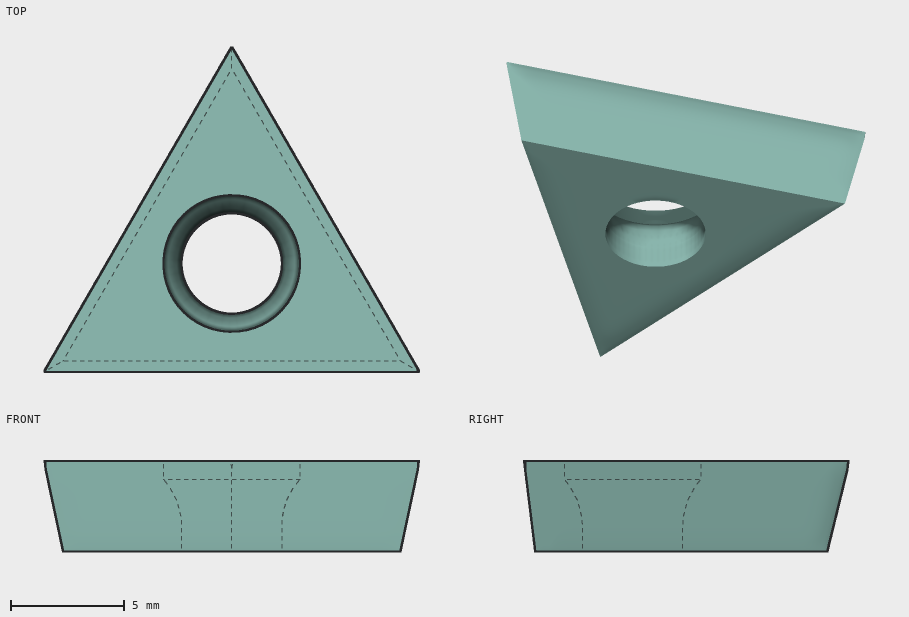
import cadquery as cq
import math

overall_width = 16.42
thickness = 3.97
relief_angle = 7.0
tip_radius = 0.05

mouth_diameter = 6.0
mouth_depth = 0.8
bore_diameter = 4.4
seat_radius = 3.0

sharp_side = overall_width + 2 * tip_radius * (math.sqrt(3) - 1)
top_inradius = sharp_side / (2 * math.sqrt(3))

tip_depth = tip_radius / math.tan(math.radians(relief_angle))
core_inradius = top_inradius - tip_radius


def triangle(inradius, z):
    """Equilateral triangle centred on the Z axis, one corner toward +Y."""
    half_side = inradius * math.sqrt(3)
    corners = [(-half_side, -inradius), (half_side, -inradius), (0, 2 * inradius)]
    return cq.Workplane("XY", origin=(0, 0, z)).polyline(corners).close()


def insert_body():
    """Sharp-cornered lower body topped by a thin layer flaring out to the rounded tips."""
    split_z = thickness - tip_depth
    lower = triangle(core_inradius, split_z).extrude(-split_z, taper=relief_angle)
    upper = triangle(core_inradius, split_z).extrude(tip_depth, taper=-relief_angle)
    return lower.union(upper, clean=True)


def screw_hole():
    """Revolved cutter whose convex seat arc blends tangentially into the bore."""
    mouth_r = mouth_diameter / 2
    bore_r = bore_diameter / 2
    arc_center_r = bore_r + seat_radius
    seat_height = math.sqrt(seat_radius**2 - (arc_center_r - mouth_r) ** 2)
    seat_top_z = thickness - mouth_depth
    seat_bottom_z = seat_top_z - seat_height
    half_sweep = math.asin(seat_height / seat_radius) / 2
    arc_middle = (
        arc_center_r - seat_radius * math.cos(half_sweep),
        seat_bottom_z + seat_radius * math.sin(half_sweep),
    )
    return (
        cq.Workplane("XZ")
        .moveTo(0, 0)
        .lineTo(bore_r, 0)
        .lineTo(bore_r, seat_bottom_z)
        .threePointArc(arc_middle, (mouth_r, seat_top_z))
        .lineTo(mouth_r, thickness)
        .lineTo(0, thickness)
        .close()
        .revolve(360, (0, 0, 0), (0, 1, 0))
    )


result = insert_body().cut(screw_hole())